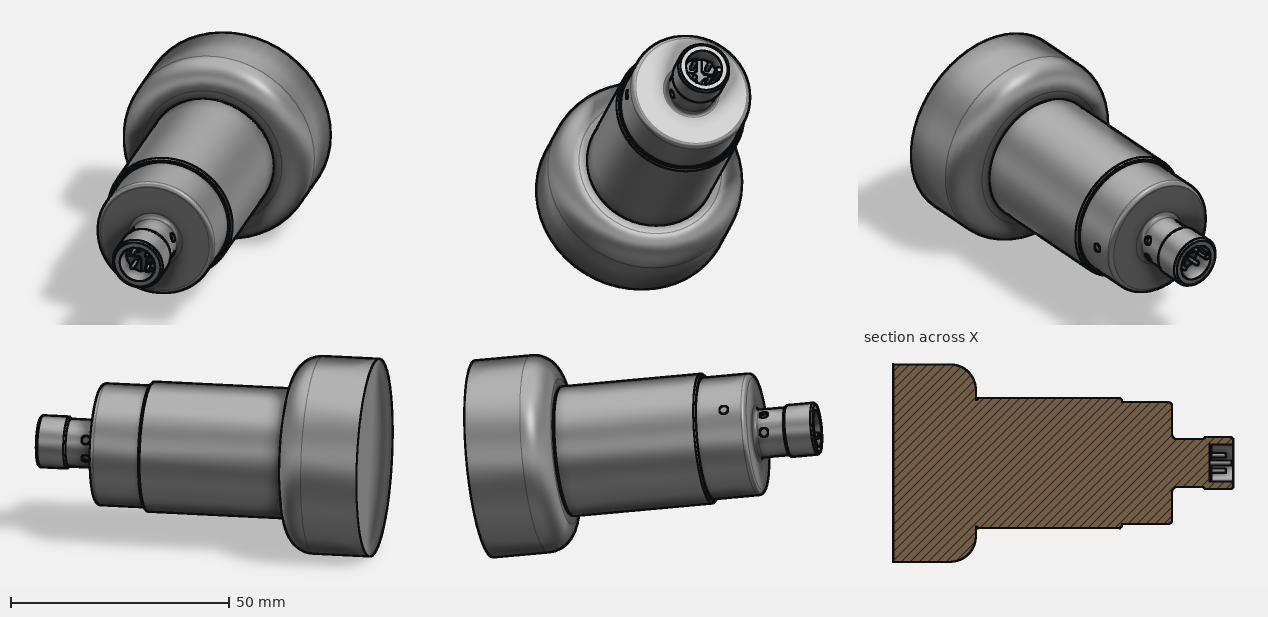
import cadquery as cq

total_length = 78.0

head_diameter = 45.5
head_radius = head_diameter / 2
head_length = 19.0
head_round = 6.0

sleeve_radius = 15.0
sleeve_end = 52.5
sleeve_chamfer = 0.5

nose_radius = 14.05
nose_end = 64.0
edge_round = 1.0

neck_radius = 5.5
collar_radius = 6.0
collar_start = 71.05
collar_chamfer = collar_radius - neck_radius

socket_radius = 4.2
socket_depth = 5.0
socket_floor = total_length - socket_depth
groove_width = 1.2
groove_depth = 0.5
groove_corner = 0.7

pin_radius = 0.5
pin_length = 3.35
pin_tip_round = 0.3
pin_circle_radius = 2.5
pin_count = 4
key_width = groove_width
key_inner_reach = 3.0
key_nose_bulge = 0.3
key_length = 5.0
wall_overlap = 0.2

window_radius = 1.0
neck_window_depth = 0.8
nose_window_depth = 0.15
nose_window_station = 59.0
neck_window_station = 66.45
neck_window_angle = 24.0


def turned_body():
    """Solid of revolution through head, sleeve, nose and plug."""
    profile = (
        cq.Workplane("XY")
        .lineTo(head_radius, 0)
        .lineTo(head_radius, head_round - head_length)
        .radiusArc((head_radius - head_round, -head_length), head_round)
        .lineTo(sleeve_radius - sleeve_chamfer, -head_length)
        .lineTo(sleeve_radius, -head_length - sleeve_chamfer)
        .lineTo(sleeve_radius, sleeve_chamfer - sleeve_end)
        .lineTo(sleeve_radius - sleeve_chamfer, -sleeve_end)
        .lineTo(nose_radius, -sleeve_end)
        .lineTo(nose_radius, edge_round - nose_end)
        .radiusArc((nose_radius - edge_round, -nose_end), edge_round)
        .lineTo(neck_radius + edge_round, -nose_end)
        .radiusArc((neck_radius, -nose_end - edge_round), -edge_round)
        .lineTo(neck_radius, -collar_start)
        .lineTo(collar_radius, -collar_start - collar_chamfer)
        .lineTo(collar_radius, collar_chamfer - total_length)
        .lineTo(collar_radius - collar_chamfer, -total_length)
        .lineTo(0, -total_length)
        .close()
    )
    return profile.revolve(360, (0, 0, 0), (0, 1, 0))


def plane_at(station):
    """Sketch plane at a station, X to the right, Z up, facing the plug tip."""
    return cq.Workplane("XZ", origin=(0, -station, 0))


def socket():
    """Round bore with a cross-shaped groove sunk into its floor."""
    bore = plane_at(socket_floor).circle(socket_radius).extrude(socket_depth)
    bore_diameter = 2 * socket_radius
    level_arm = plane_at(socket_floor).rect(bore_diameter, groove_width).extrude(-groove_depth)
    upright_arm = plane_at(socket_floor).rect(groove_width, bore_diameter).extrude(-groove_depth)
    hub_side = groove_width + 2 * groove_corner
    hub = (
        plane_at(socket_floor)
        .rect(hub_side, hub_side)
        .extrude(-groove_depth)
        .edges("|Y")
        .chamfer(groove_corner)
    )
    disc = plane_at(socket_floor).circle(socket_radius).extrude(-groove_depth)
    return bore.union(level_arm.union(upright_arm).union(hub).intersect(disc))


def pins():
    """Contact pins standing on the socket floor, each with a rounded tip."""
    half_pitch = 180 / pin_count
    return (
        plane_at(socket_floor + pin_length)
        .polarArray(pin_circle_radius, half_pitch, 360, pin_count)
        .circle(pin_radius)
        .extrude(-pin_length - groove_depth)
        .faces("<Y")
        .fillet(pin_tip_round)
    )


def coding_key():
    """Rib with a bowed inner face, running along the +X wall of the socket."""
    half_width = key_width / 2
    shoulder = key_inner_reach + key_nose_bulge
    outer_end = socket_radius + wall_overlap
    return (
        plane_at(socket_floor - groove_depth)
        .moveTo(outer_end, -half_width)
        .lineTo(shoulder, -half_width)
        .threePointArc((key_inner_reach, 0), (shoulder, half_width))
        .lineTo(outer_end, half_width)
        .close()
        .extrude(key_length)
    )


def window(station, surface_radius, depth, angle):
    """Shallow round recess cut radially; angle is measured from +X towards +Z."""
    tool = (
        cq.Workplane("YZ", origin=(surface_radius - depth, -station, 0))
        .circle(window_radius)
        .extrude(2 * depth)
    )
    return tool.rotate((0, 0, 0), (0, 1, 0), -angle)


result = turned_body().cut(socket()).union(pins()).union(coding_key())

result = result.cut(window(nose_window_station, nose_radius, nose_window_depth, 180))
for side in (0, 180):
    for tilt in (-neck_window_angle, neck_window_angle):
        neck_window = window(neck_window_station, neck_radius, neck_window_depth, side + tilt)
        result = result.cut(neck_window)